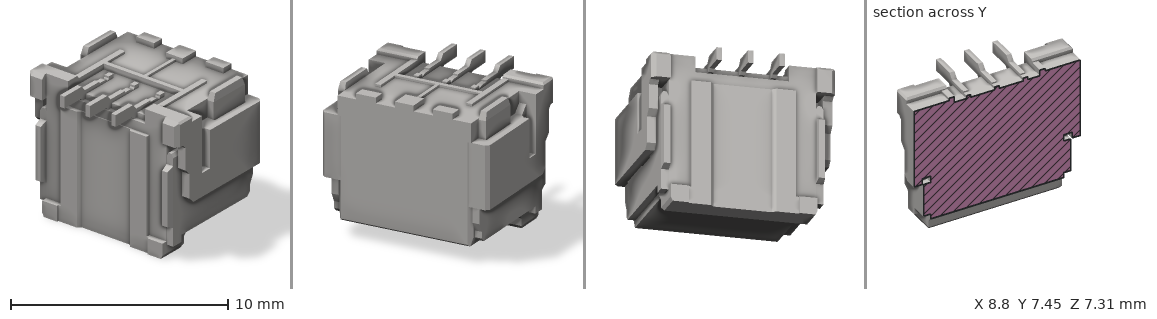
import cadquery as cq


BODY_HALF = 3.52
BODY_BOTTOM = 0.815
BODY_TOP = 6.98
FRAME_DEPTH = 6.06
BODY_EDGE_X = 0.1
BODY_EDGE_RISE = 0.4
FOOT_EDGE_RISE = 0.2
BODY_REAR_CHAMFER = 0.2
BODY_HEEL_CHAMFER = 0.09

FOOT_REAR = 4.76
FOOT_BEVEL = 0.2
FOOT_SLOPE_BOTTOM = 0.575
PAD_DEPTH = 6.375
PAD_INNER = 2.65
PAD_TOP = 0.82

PANEL_HALF = 2.51
PANEL_DEPTH = 6.28
PANEL_TOP = 6.0
GROOVE_HALF = 1.395
GROOVE_DEPTH = 6.115
GROOVE_SLOPE = PANEL_DEPTH - GROOVE_DEPTH

RAISED_TOP = 7.27
RIB_TOP = 7.11
RECESS_HALF = 2.245
RECESS_REAR = 3.4
RECESS_FLOOR = 6.8
STEP_REAR = 5.83
STEP_FLOOR = 6.5
RIB_OUTER = 2.55
SIDE_RIB_REAR = 1.81
CROSS_RIB_REAR = 3.16
CENTER_RIB_HALF = 0.09
CENTER_BLOCK_HALF = 0.49
CENTER_BLOCK_DEPTH = 1.01
SIDE_BLOCK_INNER = 1.5
SIDE_BLOCK_DEPTH = 0.6

WING_HALF = 4.4
WING_REAR = 0.03
WING_BOTTOM = 2.79
WING_TOP = 6.0
WING_CHAMFER = 0.18
FLANGE_REAR = 4.55
EAR_REAR = 5.28
EAR_TOP_CHAMFER = 0.1
EAR_FRONT_CHAMFER = 0.2
WING_LOW_FRONT = 5.195
WING_MID_FRONT = 5.465
WING_HIGH_FRONT = 5.77
WING_HIGH_BOTTOM = 4.64
WING_FRONT_CHAMFER = 0.2

SLOT_HALF = 3.955
SLOT_REAR = 0.68
SLOT_FRONT = 3.03
CHANNEL_REAR = 4.9
CHANNEL_SLOPE_TOP = 3.42

NOTCH_REAR = 3.94
NOTCH_FLOOR = 4.02
NOTCH_STEP_X = 4.1
GUSSET_RISE = 0.4

PLATE_HALF = 3.895
PLATE_FRONT = 6.05
PLATE_REAR = 0.12
PLATE_REAR_SLOPE_TOP = 2.0
PLATE_REAR_SLOPE_BOTTOM = 1.55
PLATE_HEEL_REAR = 0.34
PLATE_HEEL_CHAMFER = 0.19
PLATE_BOTTOM = 0.65
PLATE_LOWER_EDGE = 1.02
PLATE_TIP_TOP = 5.43
PLATE_TIP_CHAMFER_X = 0.1
PLATE_TIP_CHAMFER_Z = 0.2
PLATE_FOOT_REAR = 5.43
TAB_REAR = 0.71
TAB_SHOULDER = 6.91
TAB_TOP = 7.31
TAB_TAPER = 0.16
BUMP_DEPTH = 6.44
BUMP_BOTTOM = 1.62
BUMP_TOP = 4.82
BUMP_TAPER = 0.18
SIDE_TAPER = 0.035

PIN_PITCH = 1.5
PIN_WIDTH = 0.26
PIN_TOP = 7.31
PIN_FRONT = 7.445
PIN_BOTTOM = 6.7
PIN_BEND_BOTTOM = 6.56
BEND_BOTTOM_REAR = 6.1
BEND_BOTTOM_FRONT = 6.24
TAIL_REAR = 6.16
SHANK_FRONT = 5.92
SHANK_REAR = 4.845
SHANK_TOP = 7.03
LEDGE_REAR = 4.51
LEDGE_TOP = 6.95
DIP_DEPTH = 4.21
DIP_TOP = 6.83
NUB_FRONT = 4.14
NUB_REAR = 3.8
NUB_TOP = 7.02
NUB_STEP = 6.92
PIN_OFFSETS = (-PIN_PITCH, 0, PIN_PITCH)


def block(x0, x1, d0, d1, z0, z1):
    """Box between two X limits, two depths and two heights."""
    return cq.Workplane("XY").box(x1 - x0, d1 - d0, z1 - z0, centered=False).translate((x0, -d1, z0))


def side_profile(points, x0, x1):
    """Extrude a (depth, height) outline from x0 to x1."""
    outline = [(-depth, z) for depth, z in points]
    return cq.Workplane("YZ").workplane(offset=x0).polyline(outline).close().extrude(x1 - x0)


def plan_profile(points, z0, z1):
    """Extrude an (x, depth) outline from z0 to z1."""
    outline = [(x, -depth) for x, depth in points]
    return cq.Workplane("XY").workplane(offset=z0).polyline(outline).close().extrude(z1 - z0)


def both_sides(shape):
    """The shape together with its mirror image across X = 0."""
    return shape.union(shape.mirror("YZ"))


def lower_edge_cut(bottom, rise):
    """Long wedges that chamfer the bottom edges along Y."""
    wedge = (
        cq.Workplane("XZ")
        .polyline([(BODY_HALF, bottom), (BODY_HALF, bottom + rise), (BODY_HALF - BODY_EDGE_X, bottom)])
        .close()
        .extrude(PAD_DEPTH)
    )
    return both_sides(wedge)


def make_foot():
    slope_top = BODY_BOTTOM + BODY_EDGE_RISE
    slope_run = slope_top - FOOT_SLOPE_BOTTOM
    outline = [
        (FOOT_REAR - slope_run, slope_top),
        (FOOT_REAR, FOOT_SLOPE_BOTTOM),
        (FOOT_REAR, FOOT_BEVEL),
        (FOOT_REAR + FOOT_BEVEL, 0),
        (FRAME_DEPTH, 0),
        (FRAME_DEPTH, slope_top),
    ]
    foot = side_profile(outline, -BODY_HALF, BODY_HALF)
    lip = block(-PAD_INNER, PAD_INNER, FOOT_REAR + FOOT_BEVEL, PANEL_DEPTH, 0, PAD_TOP)
    pad = block(PAD_INNER, BODY_HALF, FOOT_REAR + FOOT_BEVEL, PAD_DEPTH, 0, PAD_TOP)
    return foot.union(lip).union(both_sides(pad)).cut(lower_edge_cut(0, FOOT_EDGE_RISE))


def make_housing():
    body = block(-BODY_HALF, BODY_HALF, 0, FRAME_DEPTH, BODY_BOTTOM, BODY_TOP)
    body = body.edges("<Z and >Y").chamfer(BODY_HEEL_CHAMFER)
    rear_edge = [(BODY_HALF, 0), (BODY_HALF, BODY_REAR_CHAMFER), (BODY_HALF - BODY_REAR_CHAMFER, 0)]
    body = body.cut(lower_edge_cut(BODY_BOTTOM, BODY_EDGE_RISE))
    body = body.cut(both_sides(plan_profile(rear_edge, BODY_BOTTOM, WING_TOP)))
    panel = block(-PANEL_HALF, PANEL_HALF, FRAME_DEPTH, PANEL_DEPTH, 0, PANEL_TOP)
    return body.union(panel).union(make_foot())


def front_groove():
    outer = GROOVE_HALF + GROOVE_SLOPE
    outline = [
        (-outer, PANEL_DEPTH),
        (-GROOVE_HALF, GROOVE_DEPTH),
        (GROOVE_HALF, GROOVE_DEPTH),
        (outer, PANEL_DEPTH),
    ]
    return plan_profile(outline, 0, PANEL_TOP)


def top_ribs():
    base = RECESS_FLOOR
    side_rib = block(RECESS_HALF, RIB_OUTER, SIDE_RIB_REAR, EAR_REAR, base, RIB_TOP)
    cross_rib = block(-RECESS_HALF, RECESS_HALF, CROSS_RIB_REAR, RECESS_REAR, base, RIB_TOP)
    center_rib = block(
        -CENTER_RIB_HALF, CENTER_RIB_HALF, CENTER_BLOCK_DEPTH, CROSS_RIB_REAR, base, RIB_TOP
    )
    return both_sides(side_rib).union(cross_rib).union(center_rib)


def stop_blocks():
    side = block(SIDE_BLOCK_INNER, RIB_OUTER, 0, SIDE_BLOCK_DEPTH, RECESS_FLOOR, RAISED_TOP)
    center = block(
        -CENTER_BLOCK_HALF, CENTER_BLOCK_HALF, 0, CENTER_BLOCK_DEPTH, RECESS_FLOOR, RAISED_TOP
    )
    return both_sides(side).union(center)


def pin_recess():
    floor = block(-RECESS_HALF, RECESS_HALF, RECESS_REAR, FRAME_DEPTH, RECESS_FLOOR, RAISED_TOP)
    step = block(-RECESS_HALF, RECESS_HALF, STEP_REAR, FRAME_DEPTH, STEP_FLOOR, RAISED_TOP)
    return floor.union(step)


def make_ear():
    """Raised front corner on the +X side; its outer part stands proud of the frame."""
    inner = block(RECESS_HALF, BODY_HALF, EAR_REAR, FRAME_DEPTH, WING_TOP, RAISED_TOP)
    outer = block(BODY_HALF, WING_HALF, EAR_REAR, PAD_DEPTH, WING_TOP, RAISED_TOP)
    outer = outer.edges("|Z and >X and <Y").chamfer(EAR_FRONT_CHAMFER)
    outer = outer.edges(">Z and <Y").chamfer(EAR_FRONT_CHAMFER)
    c = EAR_TOP_CHAMFER
    rear_cut = side_profile(
        [(EAR_REAR, RAISED_TOP), (EAR_REAR + c, RAISED_TOP), (EAR_REAR, RAISED_TOP - c)],
        RECESS_HALF,
        WING_HALF,
    )
    side_cut = (
        cq.Workplane("XZ")
        .polyline([(WING_HALF, RAISED_TOP), (WING_HALF - c, RAISED_TOP), (WING_HALF, RAISED_TOP - c)])
        .close()
        .extrude(PAD_DEPTH)
    )
    return inner.union(outer).cut(rear_cut).cut(side_cut)


def wing_notch():
    """Vertical pocket in the outer face of the wing, ahead of the flange."""
    inner_rear = NOTCH_REAR + NOTCH_STEP_X - PLATE_HALF
    outline = [
        (WING_HALF, NOTCH_REAR),
        (NOTCH_STEP_X, NOTCH_REAR),
        (PLATE_HALF, inner_rear),
        (PLATE_HALF, FLANGE_REAR),
        (WING_HALF, FLANGE_REAR),
    ]
    return plan_profile(outline, NOTCH_FLOOR, WING_TOP)


def front_channel():
    """Clearance for the front arm of the retainer, sloped at its lower rear."""
    slope = CHANNEL_SLOPE_TOP - WING_BOTTOM
    outline = [
        (CHANNEL_REAR - slope, WING_BOTTOM),
        (CHANNEL_REAR, CHANNEL_SLOPE_TOP),
        (CHANNEL_REAR, WING_TOP),
        (PAD_DEPTH, WING_TOP),
        (PAD_DEPTH, WING_BOTTOM),
    ]
    return side_profile(outline, BODY_HALF, SLOT_HALF)


def make_wing():
    c = WING_FRONT_CHAMFER
    low_step = WING_MID_FRONT - WING_LOW_FRONT
    high_step = WING_HIGH_FRONT - WING_MID_FRONT
    low_slope_top = WING_BOTTOM + low_step
    outline = [
        (WING_REAR, WING_BOTTOM),
        (WING_LOW_FRONT, WING_BOTTOM),
        (WING_MID_FRONT, low_slope_top),
        (WING_MID_FRONT, WING_HIGH_BOTTOM - high_step),
        (WING_HIGH_FRONT, WING_HIGH_BOTTOM),
        (WING_HIGH_FRONT, WING_TOP - c),
        (WING_HIGH_FRONT + c, WING_TOP),
        (WING_REAR, WING_TOP),
    ]
    wing = side_profile(outline, BODY_HALF - BODY_REAR_CHAMFER, WING_HALF)
    wing = wing.edges("|Z and >X and >Y").chamfer(WING_CHAMFER)
    flange = block(BODY_HALF, WING_HALF, FLANGE_REAR, EAR_REAR, WING_TOP, BODY_TOP)
    gusset_outline = [
        (FLANGE_REAR, WING_TOP),
        (FLANGE_REAR, WING_TOP + GUSSET_RISE),
        (FLANGE_REAR - GUSSET_RISE, WING_TOP),
    ]
    gusset = side_profile(gusset_outline, BODY_HALF, PLATE_HALF)
    slot = block(BODY_HALF, SLOT_HALF, SLOT_REAR, SLOT_FRONT, WING_BOTTOM, WING_TOP)
    wing = wing.cut(slot).cut(wing_notch()).cut(front_channel())
    return wing.union(flange).union(gusset).union(make_ear())


def tapered_tab():
    """Top end of the retainer, narrowing in both directions."""
    width = PLATE_HALF - BODY_HALF
    length = SLOT_FRONT - TAB_REAR
    return (
        cq.Workplane("XY")
        .center((PLATE_HALF + BODY_HALF) / 2, -(SLOT_FRONT + TAB_REAR) / 2)
        .workplane(offset=TAB_SHOULDER)
        .rect(width, length)
        .workplane(offset=TAB_TOP - TAB_SHOULDER)
        .rect(width - 2 * SIDE_TAPER, length - 2 * TAB_TAPER)
        .loft()
    )


def contact_bump():
    """Raised front face of the retainer, narrowing toward the front."""
    width = PLATE_HALF - BODY_HALF
    height = BUMP_TOP - BUMP_BOTTOM
    return (
        cq.Workplane("XZ")
        .center((PLATE_HALF + BODY_HALF) / 2, (BUMP_TOP + BUMP_BOTTOM) / 2)
        .workplane(offset=PLATE_FRONT)
        .rect(width, height)
        .workplane(offset=BUMP_DEPTH - PLATE_FRONT)
        .rect(width - 2 * SIDE_TAPER, height - 2 * BUMP_TAPER)
        .loft()
    )


def make_retainer():
    outline = [
        (PLATE_REAR, WING_BOTTOM),
        (PLATE_REAR, PLATE_REAR_SLOPE_TOP),
        (PLATE_HEEL_REAR, PLATE_REAR_SLOPE_BOTTOM),
        (PLATE_HEEL_REAR, PLATE_LOWER_EDGE + PLATE_HEEL_CHAMFER),
        (PLATE_HEEL_REAR + PLATE_HEEL_CHAMFER, PLATE_LOWER_EDGE),
        (PLATE_FOOT_REAR, PLATE_LOWER_EDGE),
        (PLATE_FOOT_REAR, PLATE_BOTTOM),
        (PLATE_FRONT, PLATE_BOTTOM),
        (PLATE_FRONT, PLATE_TIP_TOP),
        (CHANNEL_REAR, PLATE_TIP_TOP),
        (CHANNEL_REAR, WING_BOTTOM),
    ]
    plate = side_profile(outline, BODY_HALF, PLATE_HALF)
    tip_edges = plate.faces(">Z").edges("|Y")
    plate = tip_edges.chamfer(PLATE_TIP_CHAMFER_X, PLATE_TIP_CHAMFER_Z)
    tab_stem = block(BODY_HALF, PLATE_HALF, TAB_REAR, SLOT_FRONT, WING_BOTTOM, TAB_SHOULDER)
    return plate.union(tab_stem).union(tapered_tab()).union(contact_bump())


def make_pin(x):
    """One pin: rear nub, curved dip, shank bedded in the housing and raised solder tail."""
    return (
        cq.Workplane("YZ")
        .workplane(offset=x - PIN_WIDTH / 2)
        .moveTo(-NUB_REAR, RECESS_FLOOR)
        .lineTo(-STEP_REAR, RECESS_FLOOR)
        .lineTo(-STEP_REAR, PIN_BEND_BOTTOM)
        .lineTo(-BEND_BOTTOM_REAR, PIN_BEND_BOTTOM)
        .lineTo(-BEND_BOTTOM_FRONT, PIN_BOTTOM)
        .lineTo(-PIN_FRONT, PIN_BOTTOM)
        .lineTo(-PIN_FRONT, PIN_TOP)
        .lineTo(-TAIL_REAR, PIN_TOP)
        .lineTo(-SHANK_FRONT, SHANK_TOP)
        .lineTo(-SHANK_REAR, SHANK_TOP)
        .lineTo(-SHANK_REAR, LEDGE_TOP)
        .lineTo(-LEDGE_REAR, LEDGE_TOP)
        .tangentArcPoint((-DIP_DEPTH, DIP_TOP), relative=False)
        .lineTo(-NUB_FRONT, NUB_STEP)
        .lineTo(-NUB_FRONT, NUB_TOP)
        .lineTo(-NUB_REAR, NUB_TOP)
        .close()
        .extrude(PIN_WIDTH)
    )


result = make_housing().cut(front_groove())
result = result.union(both_sides(make_wing()))
result = result.union(top_ribs()).union(stop_blocks()).cut(pin_recess())
result = result.union(both_sides(make_retainer()))
for pin_x in PIN_OFFSETS:
    result = result.union(make_pin(pin_x))